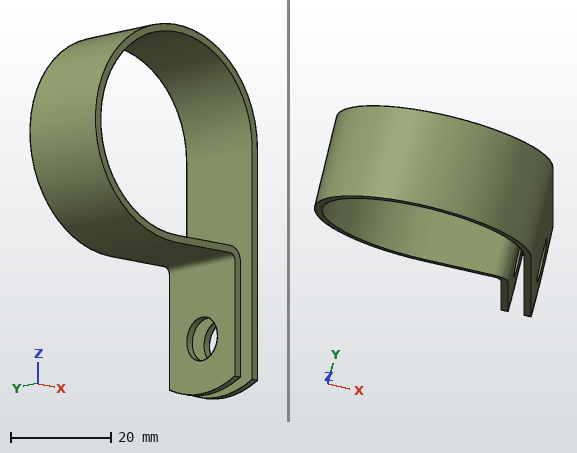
import cadquery as cq
import math

loop_diameter = 44.3
strap_width = 19.05
total_height = 71.35
thickness = 1.5
leg_gap = 3.2
bend_inner_radius = 1.35
hole_diameter = 8.85
hole_height = 11.1
end_sagitta = 2.15

outer_radius = loop_diameter / 2
inner_radius = outer_radius - thickness
bend_outer_radius = bend_inner_radius + thickness
bottom = outer_radius - total_height
short_leg_outer = inner_radius - leg_gap
short_leg_inner = short_leg_outer - thickness
bend_x = short_leg_outer - bend_outer_radius
bend_z = -inner_radius - bend_outer_radius
diagonal = math.sqrt(0.5)


def make_strap():
    """Bent strip: long leg, loop, flat shelf, bend and short leg."""
    return (
        cq.Workplane("XZ")
        .moveTo(outer_radius, bottom)
        .lineTo(outer_radius, 0)
        .threePointArc((-outer_radius * diagonal, outer_radius * diagonal), (0, -outer_radius))
        .lineTo(bend_x, -outer_radius)
        .threePointArc(
            (bend_x + bend_inner_radius * diagonal, bend_z + bend_inner_radius * diagonal),
            (short_leg_inner, bend_z),
        )
        .lineTo(short_leg_inner, bottom)
        .lineTo(short_leg_outer, bottom)
        .lineTo(short_leg_outer, bend_z)
        .threePointArc(
            (bend_x + bend_outer_radius * diagonal, bend_z + bend_outer_radius * diagonal),
            (bend_x, -inner_radius),
        )
        .lineTo(0, -inner_radius)
        .threePointArc((-inner_radius * diagonal, inner_radius * diagonal), (inner_radius, 0))
        .lineTo(inner_radius, bottom)
        .close()
        .extrude(strap_width / 2, both=True)
    )


def make_side_outline():
    """Strap outline along X: straight sides, flat top and an arched lower end."""
    half_width = strap_width / 2
    return (
        cq.Workplane("YZ")
        .moveTo(-half_width, outer_radius)
        .lineTo(-half_width, bottom + end_sagitta)
        .threePointArc((0, bottom), (half_width, bottom + end_sagitta))
        .lineTo(half_width, outer_radius)
        .close()
        .extrude(outer_radius, both=True)
    )


def make_bolt_hole():
    """Cylinder that pierces both legs along X."""
    return (
        cq.Workplane("YZ")
        .center(0, bottom + hole_height)
        .circle(hole_diameter / 2)
        .extrude(outer_radius, both=True)
    )


result = make_strap().intersect(make_side_outline()).cut(make_bolt_hole())